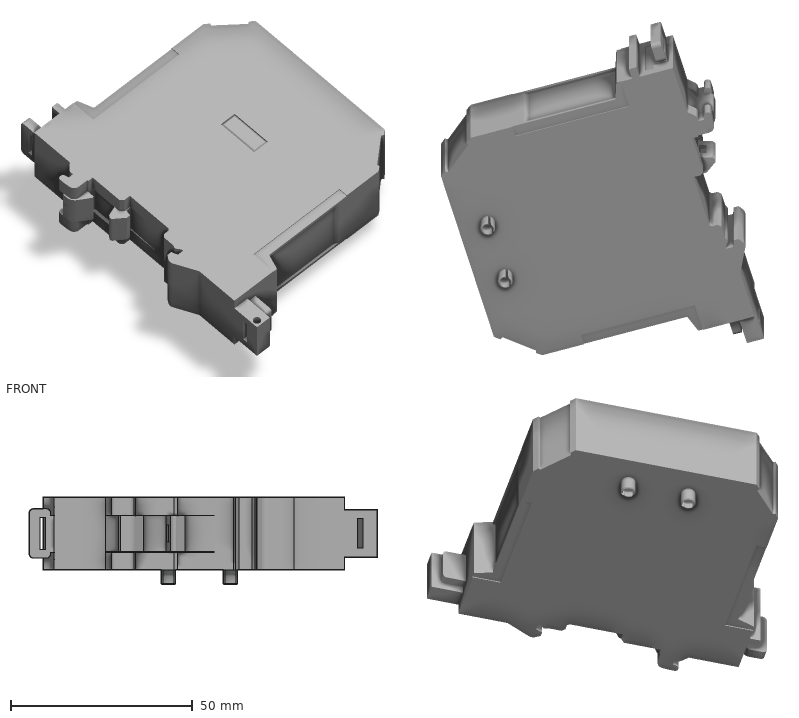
import cadquery as cq


thickness = 20.0
mid_z = thickness / 2
base_half = 39.9
upper_half = 35.0
top_half = 25.8
top_y = 70.6
shoulder_low_y = 16.2
shoulder_high_y = 17.9

step_depth = 0.3
step_half = 32.0
step_low_y = 14.8
step_high_y = 47.4

flank_pocket_depth = 0.7
flank_pocket_wall = 1.2
flank_pocket_top_y = 44.15
flank_pocket_ramp = 1.2

label_length = 13.2
label_width = 5.2
label_y = 41.8
label_depth = 0.5
label_bevel = 0.6

pin_radius = 2.0
pin_bore_radius = 1.5
pin_length = 4.0
pin_chamfer = 0.3
pin_spacing = 17.0
pin_y = 62.25
pin_slit_width = 0.7
pin_slit_offset = 1.0

strip_length = 3.1
strip_low_y = 9.6
strip_width = 2.1

foot_width = 10.15
foot_mid_z = 9.9
foot_gap = 0.2
foot_floor_y = 1.8
foot_low_z = foot_mid_z - foot_width / 2
slot_left_x = -25.8
slot_right_x = 4.0
slot_top_y = 4.8
slot_mouth_y = -6.7
bar_low_y = 5.6
bar_high_y = 7.95
bar_width = 14.5
neck_low_y = 1.1
seat_depth = 0.2

spring_x = -9.6
spring_length = 1.9
spring_low_y = -0.4
spring_high_y = 1.5
spring_height = 4.7

loop_left_x = -46.8
loop_length = 5.9
loop_height = 13.6
loop_low_y = 1.5
loop_thickness = 2.8
loop_radius = 1.2
loop_hole_length = 1.4
loop_hole_height = 8.7
loop_hole_x = -43.1

bar_end_length = 6.5
bar_end_height = 10.0
bar_end_radius = 1.0
lug_length = 9.0
lug_width = 4.9
lug_height = 13.1
lug_slot_x = 44.2
lug_slot_length = 1.4
lug_slot_height = 8.1
lug_slot_depth = 2.9
lug_hole_x = 47.2
lug_hole_y = 1.6
lug_hole_radius = 1.15
lug_hole_depth = 2.9


def box(x_range, y_range, z_range):
    """Box given by its limits on each axis."""
    (x0, x1), (y0, y1), (z0, z1) = x_range, y_range, z_range
    return cq.Workplane("XY").box(x1 - x0, y1 - y0, z1 - z0, centered=False).translate((x0, y0, z0))


def centred(middle, size):
    """Limits of a span given by its middle and size."""
    return (middle - size / 2, middle + size / 2)


def plate(points, low_z, height):
    """Closed polygon in XY, extruded along Z."""
    return cq.Workplane("XY").workplane(offset=low_z).polyline(points).close().extrude(height)


def both_flanks(solid):
    """The solid together with its mirror image across X = 0."""
    return solid.union(solid.mirror("YZ"))


def housing():
    """Full-thickness outline, with the fixed rail hooks on its base."""
    right_flank = [
        (base_half, 0),
        (base_half, shoulder_low_y),
        (upper_half, shoulder_high_y),
        (upper_half, 59.4),
        (33.8, 60.9),
        (33.1, 60.6),
        (26.5, 68.4),
        (27.0, 69.1),
        (top_half, top_y),
    ]
    left_flank = [(-x, y) for x, y in reversed(right_flank)]
    rail_recess = [(-17.6, 1.0), (-7.0, 1.0), (-6.0, 1.9), (-6.0, 4.0), (9.4, 4.0), (10.0, 3.4), (10.0, 1.8)]
    right_hook_root = [(14.5, 1.0), (15.3, 0.6), (15.7, 0.6), (17.1, 1.6), (17.7, 1.6), (17.7, -0.3)]
    outline = (
        cq.Workplane("XY")
        .moveTo(slot_left_x, 0)
        .lineTo(-23.9, -1.9)
        .threePointArc((-23.6, -2.1), (-23.2, -2.2))
        .lineTo(-22.2, -2.2)
        .lineTo(-22.2, -3.7)
        .lineTo(-23.6, -4.1)
        .threePointArc((-23.9, -4.4), (-24.1, -4.8))
        .lineTo(-24.1, -5.4)
        .threePointArc((-23.8, -5.8), (-23.2, -6.0))
        .lineTo(-21.7, -6.0)
        .lineTo(-19.6, -5.8)
        .threePointArc((-18.4, -5.1), (-18.0, -3.9))
        .lineTo(-18.0, -0.8)
        .lineTo(-17.6, -0.7)
        .polyline(rail_recess, includeCurrent=True)
        .lineTo(10.8, 1.0)
        .polyline(right_hook_root, includeCurrent=True)
        .lineTo(16.7, -0.8)
        .lineTo(15.8, -1.0)
        .lineTo(15.8, -2.5)
        .lineTo(17.2, -3.4)
        .threePointArc((18.1, -3.6), (19.0, -3.4))
        .lineTo(26.0, 0)
        .polyline(right_flank + left_flank, includeCurrent=True)
        .close()
    )
    return outline.extrude(thickness)


def flank_steps():
    """Thin cuts along the flanks of both side faces."""
    step = box((step_half, base_half), (step_low_y, step_high_y), (0, step_depth))
    far_step = step.translate((0, 0, thickness - step_depth))
    return both_flanks(step.union(far_step))


def flank_pockets():
    """Pockets in the flanks, with a ramp at the end away from the rail."""
    floor_x = upper_half - flank_pocket_depth
    outline = [
        (floor_x, shoulder_high_y),
        (upper_half, shoulder_high_y),
        (upper_half, flank_pocket_top_y),
        (floor_x, flank_pocket_top_y - flank_pocket_ramp),
    ]
    return both_flanks(plate(outline, flank_pocket_wall, thickness - 2 * flank_pocket_wall))


def label_recess():
    """Recess in the upper side face, leaving a bevelled plate inside."""
    floor = cq.Workplane("XY").workplane(offset=thickness - label_depth).center(0, label_y)
    recess = floor.rect(label_length, label_width).extrude(label_depth)
    label = (
        floor.rect(label_length, label_width)
        .workplane(offset=label_depth)
        .rect(label_length - 2 * label_bevel, label_width - 2 * label_bevel)
        .loft(ruled=True)
    )
    return recess.cut(label)


def pins():
    """Hollow pins, each split by a slit along X."""
    pin = cq.Workplane("XY").circle(pin_radius).extrude(-pin_length).faces("<Z").chamfer(pin_chamfer)
    pin = pin.cut(cq.Workplane("XY").circle(pin_bore_radius).extrude(-pin_length))
    slit_y = centred(-pin_slit_offset, pin_slit_width)
    pin = pin.cut(box((-pin_radius, pin_radius), slit_y, (-pin_length, 0)))
    left = pin.translate((-pin_spacing / 2, pin_y, 0))
    right = pin.translate((pin_spacing / 2, pin_y, 0))
    return left.union(right)


def slider_slot():
    """Slot through the base of the housing, taking the slider foot."""
    return box((slot_left_x, slot_right_x), (slot_mouth_y, slot_top_y), (foot_low_z, foot_low_z + foot_width))


def slider_foot():
    """Foot filling the slot, with the outer and inner hooks."""
    outline = (
        cq.Workplane("XY")
        .workplane(offset=foot_low_z + foot_gap)
        .moveTo(slot_left_x, slot_top_y)
        .lineTo(slot_left_x, 0)
        .lineTo(-22.2, -1.6)
        .lineTo(-22.2, -5.6)
        .lineTo(-21.7, -6.3)
        .lineTo(-20.0, -6.3)
        .threePointArc((-18.6, -5.7), (-17.6, -4.7))
        .lineTo(-15.5, -1.4)
        .threePointArc((-15.4, -1.0), (-15.9, -0.7))
        .lineTo(-17.6, -0.7)
        .lineTo(-17.6, foot_floor_y)
        .lineTo(-9.2, foot_floor_y)
        .lineTo(-7.95, -2.0)
        .lineTo(-7.3, -2.5)
        .threePointArc((-6.6, -2.5), (-6.1, -2.0))
        .lineTo(-3.9, 0.9)
        .lineTo(-3.9, 2.1)
        .lineTo(-5.8, 2.5)
        .lineTo(-5.8, 4.3)
        .lineTo(slot_right_x, 4.0)
        .lineTo(slot_right_x, slot_top_y)
        .close()
    )
    foot = outline.extrude(foot_width - foot_gap)
    spring_pocket = box(
        (spring_x, spring_x + spring_length),
        (spring_low_y, spring_high_y),
        centred(mid_z, spring_height),
    )
    return foot.cut(spring_pocket)


def slider_seat():
    """Shallow T-shaped seat of the slider in the -X end face."""
    depth = (-base_half, -base_half + seat_depth)
    head = box(depth, (bar_low_y, bar_high_y), centred(mid_z, bar_width))
    neck = box(depth, (neck_low_y, bar_low_y), centred(foot_mid_z, foot_width))
    return head.union(neck)


def pull_loop():
    """Rounded loop with a neck running into the seat."""
    y_range = (loop_low_y, loop_low_y + loop_thickness)
    loop_right_x = loop_left_x + loop_length
    loop = box((loop_left_x, loop_right_x), y_range, centred(mid_z, loop_height))
    loop = loop.edges("|Y").fillet(loop_radius)
    neck = box((loop_right_x - loop_radius, -base_half + seat_depth), y_range, centred(foot_mid_z, foot_width))
    hole = box(centred(loop_hole_x, loop_hole_length), y_range, centred(mid_z, loop_hole_height))
    return loop.union(neck).cut(hole)


def end_lug():
    """Lug on the +X end with a blind slot and a blind round hole."""
    z_range = centred(mid_z, lug_height)
    lug = box((base_half, base_half + lug_length), (0, lug_width), z_range)
    slot = box(centred(lug_slot_x, lug_slot_length), (0, lug_slot_depth), centred(mid_z, lug_slot_height))
    hole = (
        cq.Workplane("XY")
        .workplane(offset=z_range[1])
        .center(lug_hole_x, lug_hole_y)
        .circle(lug_hole_radius)
        .extrude(-lug_hole_depth)
    )
    return lug.cut(slot).cut(hole)


def bar_end():
    """Rounded end of the slider bar, standing out of the +X end."""
    end = box((base_half, base_half + bar_end_length), (bar_low_y, bar_high_y), centred(mid_z, bar_end_height))
    return end.edges(">X and |Y").fillet(bar_end_radius)


def edge_strip():
    """Full-thickness strip along the -X end."""
    return box((-base_half - strip_length, -base_half), (strip_low_y, strip_low_y + strip_width), (0, thickness))


body = housing()
for cutter in (flank_steps(), flank_pockets(), label_recess(), slider_slot(), slider_seat()):
    body = body.cut(cutter)
for addition in (slider_foot(), pull_loop(), end_lug(), bar_end(), edge_strip(), pins()):
    body = body.union(addition)
result = body